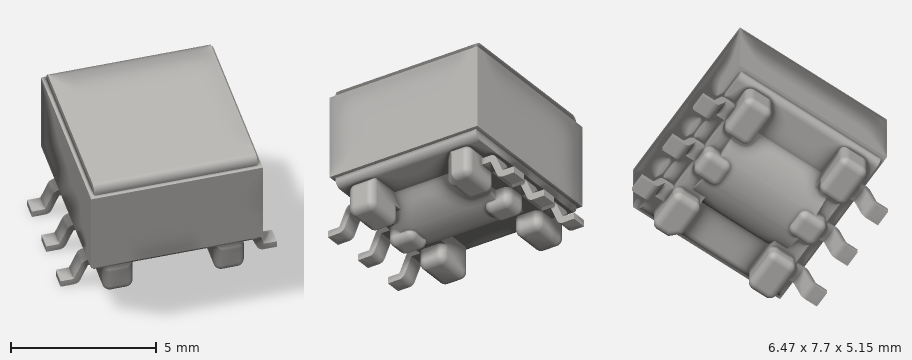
import cadquery as cq
import math

TOTAL_HEIGHT = 5.15
WRAP_BOTTOM = 1.60
WRAP_TOP = 4.79
CORE_BOTTOM = 1.26
RAIL_TOP = 1.27
FOOT_BOTTOM = 0.05

WRAP_X = 6.47
WRAP_Y = 6.11

CORE_X = 6.17
CORE_Y = 5.81

EDGE_RADIUS = 0.26

LEAD_SPAN = 7.70
LEAD_WIDTH = 0.62
LEAD_THICKNESS = 0.25
LEAD_PITCH = 1.85
LEAD_TOP = RAIL_TOP - EDGE_RADIUS
LEAD_UNDERSIDE = LEAD_TOP - LEAD_THICKNESS
LEAD_FOOT_LENGTH = 0.47
LEAD_SLOPE_ANGLE = math.radians(66)

BOBBIN_X = 5.91
BOBBIN_Y = 5.03
RAIL_DEPTH = 1.07
RAIL_UNDERSIDE = LEAD_UNDERSIDE
RAIL_OFFSET = (BOBBIN_Y - RAIL_DEPTH) / 2
CORNER_FOOT_WIDTH = 1.59
MIDDLE_FOOT_WIDTH = 1.00
INDEX_CHAMFER = 0.35

WINDING_RADIUS = 1.85
WINDING_BOTTOM = 0.30


def make_block(size_x, size_y, bottom, top, center=(0, 0)):
    """Box centred on an X, Y point and reaching from one height to another."""
    base = cq.Workplane("XY", origin=(center[0], center[1], bottom))
    return base.rect(size_x, size_y).extrude(top - bottom)


def make_core():
    """Core block with its long edges along Y rounded."""
    core = make_block(CORE_X, CORE_Y, CORE_BOTTOM, TOTAL_HEIGHT)
    return core.edges("|Y").fillet(EDGE_RADIUS)


def make_notched_rail():
    """Sharp-edged -Y rail with a notch on each side of its middle foot."""
    rail = make_block(BOBBIN_X, RAIL_DEPTH, FOOT_BOTTOM, RAIL_TOP, (0, -RAIL_OFFSET))
    notch_start = MIDDLE_FOOT_WIDTH / 2
    notch_end = BOBBIN_X / 2 - CORNER_FOOT_WIDTH
    for side in (-1, 1):
        center = (side * (notch_start + notch_end) / 2, -RAIL_OFFSET)
        notch = make_block(notch_end - notch_start, RAIL_DEPTH, FOOT_BOTTOM, RAIL_UNDERSIDE, center)
        rail = rail.cut(notch)
    return rail


def is_index_edge(edge):
    """True for vertical edges near the -X corner of the -Y rail, on the winding side."""
    center = edge.Center()
    near_end = center.x < -BOBBIN_X / 2 + CORNER_FOOT_WIDTH / 2
    return near_end and center.y > -RAIL_OFFSET


def round_rail(rail, vertical_edges):
    """Round the given vertical edges, the bottom edges and the outer top edges."""
    bottom_edges = rail.faces("<Z").edges().vals()
    top_edges = rail.faces(">Z").edges("<X or >X or <Y").vals()
    return rail.newObject(vertical_edges + bottom_edges + top_edges).fillet(EDGE_RADIUS)


def make_plain_rail():
    rail = make_notched_rail()
    return round_rail(rail, rail.edges("|Z").vals())


def make_index_rail():
    """Rail with one corner on the winding side chamfered to mark the first lead."""
    rail = make_notched_rail()
    index_edges = [edge for edge in rail.edges("|Z").vals() if is_index_edge(edge)]
    rail = rail.newObject(index_edges).chamfer(INDEX_CHAMFER)
    rounded_edges = [edge for edge in rail.edges("|Z").vals() if not is_index_edge(edge)]
    return round_rail(rail, rounded_edges)


def make_winding():
    """Cylinder along Y that joins the two rails."""
    length = 2 * RAIL_OFFSET
    axis_height = WINDING_BOTTOM + WINDING_RADIUS
    base = cq.Workplane("XZ", origin=(0, length / 2, axis_height))
    return base.circle(WINDING_RADIUS).extrude(length)


def make_lead(lead_x):
    """Lead leaving the -Y rail, centred on lead_x."""
    tip_y = -LEAD_SPAN / 2
    root_y = -RAIL_OFFSET
    slope_sin = math.sin(LEAD_SLOPE_ANGLE)
    slope_cos = math.cos(LEAD_SLOPE_ANGLE)
    slope_rise = LEAD_UNDERSIDE - LEAD_THICKNESS
    slope_run = (LEAD_THICKNESS + slope_rise * slope_cos) / slope_sin
    lower_y = tip_y + LEAD_FOOT_LENGTH
    upper_y = lower_y + slope_run
    half_angle = LEAD_SLOPE_ANGLE / 2
    normal_y = LEAD_THICKNESS * slope_sin
    normal_z = LEAD_THICKNESS * slope_cos
    middle_y = LEAD_THICKNESS * math.sin(half_angle)
    middle_z = LEAD_THICKNESS * math.cos(half_angle)
    profile = (
        cq.Workplane("YZ", origin=(lead_x - LEAD_WIDTH / 2, 0, 0))
        .moveTo(tip_y, 0)
        .lineTo(lower_y, 0)
        .threePointArc(
            (lower_y + middle_y, LEAD_THICKNESS - middle_z),
            (lower_y + normal_y, LEAD_THICKNESS - normal_z),
        )
        .lineTo(upper_y, LEAD_UNDERSIDE)
        .lineTo(root_y, LEAD_UNDERSIDE)
        .lineTo(root_y, LEAD_TOP)
        .lineTo(upper_y, LEAD_TOP)
        .threePointArc(
            (upper_y - middle_y, LEAD_UNDERSIDE + middle_z),
            (upper_y - normal_y, LEAD_UNDERSIDE + normal_z),
        )
        .lineTo(lower_y, LEAD_THICKNESS)
        .lineTo(tip_y, LEAD_THICKNESS)
        .close()
    )
    return profile.extrude(LEAD_WIDTH)


def turn_to_rear(body):
    """Half turn about Z, from the -Y end to the +Y end."""
    return body.rotate((0, 0, 0), (0, 0, 1), 180)


result = make_core()
result = result.union(make_block(WRAP_X, WRAP_Y, WRAP_BOTTOM, WRAP_TOP))
result = result.union(make_winding())
result = result.union(make_index_rail())
result = result.union(turn_to_rear(make_plain_rail()))
for lead_x in (-LEAD_PITCH, 0, LEAD_PITCH):
    lead = make_lead(lead_x)
    result = result.union(lead).union(turn_to_rear(lead))